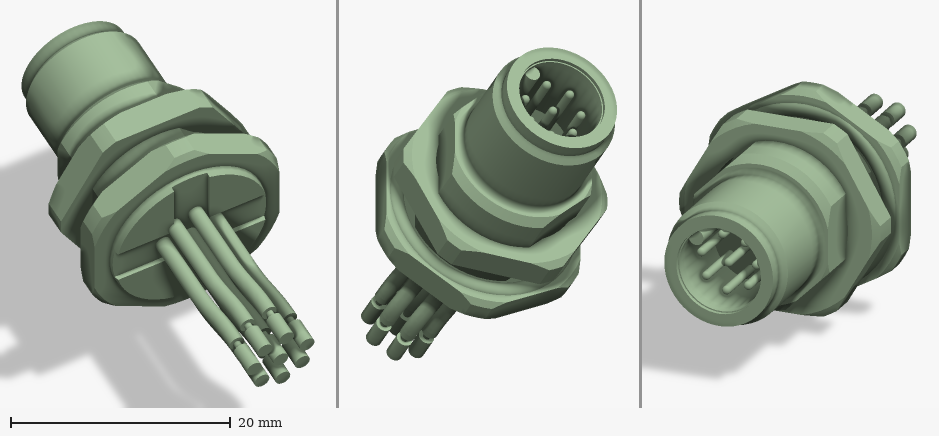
import cadquery as cq
import math


tip_radius = 5.4
tip_length = 1.35
plug_radius = 12.0 / 2
plug_start = 2.0
neck_start = 9.0
neck_fillet = 0.45
shoulder_radius = 6.9

body_start = neck_start + neck_fillet
body_radius = 15.25 / 2
body_chamfer = body_radius - shoulder_radius
flat_distance = 6.7
flat_angles = (0, 45, 180, 225)

mouth_radius = 4.2
mouth_depth = 0.4
step_radius = 4.07
floor_radius = 3.85
bore_depth = 7.75
pin_radius = 0.8 / 2
pin_tip = 1.85
pin_circle_radius = 2.75
outer_pin_count = 7
key_angle = 45
pin_gap_angle = 65
key_radius = 0.75
key_circle_radius = 3.65
key_start = 0.78

flange_start = 19.3
flange_end = 22.0
flange_across_flats = 19.0
flange_across_corners = 20.87
flange_chamfer = 0.5
seal_front = 18.95
seal_ring_radius = 8.5
seal_tube_radius = 0.8

collar_radius = 8.0
collar_end_radius = 7.8
collar_end = 22.95
slot_floor = 22.45
slot_width = 3.65

wire_radius = 1.5 / 2
core_radius = 0.7 / 2
bend_start = 29.25
bend_end = 34.7
wire_offset_y = 0.78
wire_offset_z = -0.85
insulation_end = 35.42
sleeve_start = 36.25
overall_length = 38.8

nut_start = 13.5
nut_end = 16.35
nut_across_flats = 18.05
nut_across_corners = 20.0
nut_face_radius = 9.3
nut_chamfer = 0.43
nut_bore_radius = 6.95


def cylinder(start, end, radius, y=0.0, z=0.0):
    """Solid cylinder parallel to X."""
    return cq.Workplane("YZ", origin=(start, y, z)).circle(radius).extrude(end - start)


def revolve(profile):
    """Turn a closed profile of X and radius about the X axis."""
    return profile.close().revolve(360, (0, 0, 0), (1, 0, 0))


def hexagon(start, end, across_flats, corner_angle):
    """Hexagonal prism along X, with a corner at the given angle from +Y."""
    sharp_corners = across_flats / math.cos(math.pi / 6)
    prism = cq.Workplane("YZ", origin=(start, 0, 0)).polygon(6, sharp_corners).extrude(end - start)
    return prism.rotate((0, 0, 0), (1, 0, 0), corner_angle)


def polar_place(radius, angle):
    """Y and Z at a radius and an angle from +Y towards +Z."""
    return radius * math.cos(math.radians(angle)), radius * math.sin(math.radians(angle))


def contact_places():
    """Centre contact, then the outer circle with its wide gap at the key."""
    pitch = (360 - pin_gap_angle) / (outer_pin_count - 1)
    first_angle = key_angle + pin_gap_angle / 2
    outer = [polar_place(pin_circle_radius, first_angle + i * pitch) for i in range(outer_pin_count)]
    return [(0.0, 0.0)] + outer


def plug_shell():
    profile = (
        cq.Workplane("XY")
        .lineTo(0, tip_radius)
        .lineTo(tip_length, tip_radius)
        .lineTo(plug_start, plug_radius)
        .lineTo(neck_start, plug_radius)
        .radiusArc((body_start, plug_radius + neck_fillet), -neck_fillet)
        .lineTo(body_start, 0)
    )
    return revolve(profile)


def threaded_body():
    profile = (
        cq.Workplane("XY")
        .moveTo(body_start, 0)
        .lineTo(body_start, shoulder_radius)
        .lineTo(body_start + body_chamfer, body_radius)
        .lineTo(flange_start, body_radius)
        .lineTo(flange_start, 0)
    )
    body = revolve(profile)
    length = flange_start - body_start
    middle = (body_start + flange_start) / 2
    cutter_depth = body_radius
    for angle in flat_angles:
        cutter = (
            cq.Workplane("XY")
            .box(length, cutter_depth, 2 * body_radius)
            .translate((middle, flat_distance + cutter_depth / 2, 0))
            .rotate((0, 0, 0), (1, 0, 0), angle)
        )
        body = body.cut(cutter)
    return body


def flange():
    corner_radius = flange_across_corners / 2
    prism = hexagon(flange_start, flange_end, flange_across_flats, 90)
    disc = cylinder(flange_start, flange_end, corner_radius).edges().chamfer(flange_chamfer)
    return prism.intersect(disc)


def seal_ring():
    centre = seal_front + seal_tube_radius
    ring = (
        cq.Workplane("XY")
        .center(centre, seal_ring_radius)
        .circle(seal_tube_radius)
        .revolve(360, (0, -seal_ring_radius, 0), (1, -seal_ring_radius, 0))
    )
    return ring


def rear_collar():
    profile = (
        cq.Workplane("XY")
        .moveTo(flange_end, 0)
        .lineTo(flange_end, collar_radius)
        .lineTo(collar_end, collar_end_radius)
        .lineTo(collar_end, 0)
    )
    collar = revolve(profile)
    slot_middle = (slot_floor + collar_end) / 2
    for angle in (0, 90):
        slot = (
            cq.Workplane("XY")
            .box(collar_end - slot_floor, 2 * collar_radius, slot_width)
            .translate((slot_middle, 0, 0))
            .rotate((0, 0, 0), (1, 0, 0), angle)
        )
        collar = collar.cut(slot)
    return collar


def socket_bore():
    profile = (
        cq.Workplane("XY")
        .lineTo(0, mouth_radius)
        .lineTo(mouth_depth, mouth_radius)
        .lineTo(mouth_depth, step_radius)
        .lineTo(bore_depth, floor_radius)
        .lineTo(bore_depth, 0)
    )
    return revolve(profile)


def contact_pin(y, z):
    pin = cylinder(pin_tip + pin_radius, body_start, pin_radius, y, z)
    dome = cq.Workplane("YZ", origin=(pin_tip + pin_radius, y, z)).sphere(pin_radius)
    return pin.union(dome)


def coding_key():
    y, z = polar_place(key_circle_radius, key_angle)
    return cylinder(key_start, bore_depth, key_radius, y, z)


def wire(y, z):
    end_y = y + wire_offset_y
    end_z = z + wire_offset_z
    straight = cylinder(slot_floor, bend_start, wire_radius, y, z)
    path = cq.Workplane("XY").spline(
        [(bend_start, y, z), (bend_end, end_y, end_z)], tangents=[(1, 0, 0), (1, 0, 0)]
    )
    bend = cq.Workplane("YZ", origin=(bend_start, y, z)).circle(wire_radius).sweep(path)
    insulation = cylinder(bend_end, insulation_end, wire_radius, end_y, end_z)
    core = cylinder(insulation_end, sleeve_start, core_radius, end_y, end_z)
    sleeve = cylinder(sleeve_start, overall_length, wire_radius, end_y, end_z)
    return straight.union(bend).union(insulation).union(core).union(sleeve)


def make_connector():
    connector = plug_shell().union(threaded_body()).cut(socket_bore()).union(coding_key())
    connector = connector.union(flange()).union(seal_ring()).union(rear_collar())
    for y, z in contact_places():
        connector = connector.union(contact_pin(y, z)).union(wire(y, z))
    return connector


def make_nut():
    """Hexagon nut, chamfered at the front; its hole fits the body and clears the flats slightly."""
    corner_radius = nut_across_corners / 2
    disc = cylinder(nut_start, nut_end, corner_radius)
    disc = disc.faces("<X").edges().chamfer(nut_chamfer, corner_radius - nut_face_radius)
    prism = hexagon(nut_start, nut_end, nut_across_flats, 0)
    bore = cylinder(nut_start, nut_end, nut_bore_radius)
    return prism.intersect(disc).cut(bore).cut(threaded_body())


connector = make_connector()
nut = make_nut()
result = cq.Compound.makeCompound([connector.val(), nut.val()])